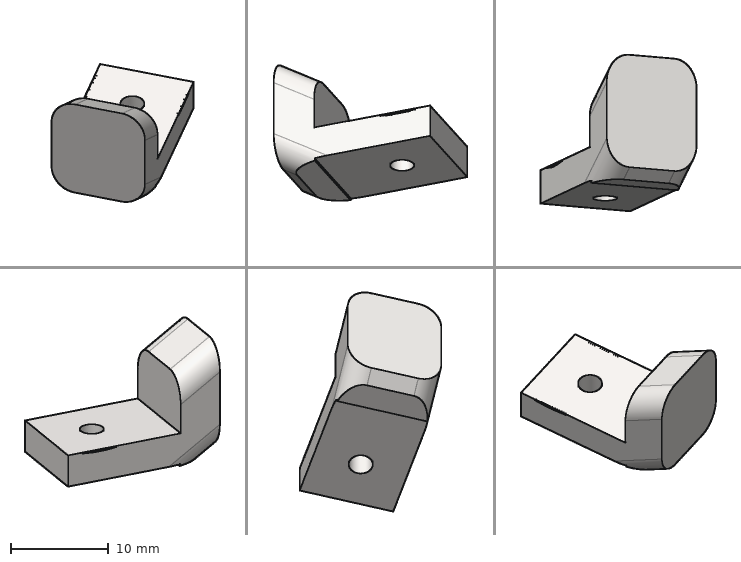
import cadquery as cq
import math

WIDTH = 10.0
LENGTH = 17.34
HEIGHT = 12.75
PAD_DEPTH = 4.49
PLATE_BOTTOM = 0.23
PLATE_TOP = 3.73
FACE_BOTTOM = 0.99
EDGE_RADIUS = 2.5
SLOPE_ANGLE = 32.0
HOLE_DIAMETER = 2.46
HOLE_Y = 12.17
SLIT_Y = 13.73
SLIT_LENGTH = 3.85
SLIT_HEIGHT = 0.12
SLIT_DEPTH = 0.17
SLIT_GAP = 0.12

slope = math.tan(math.radians(SLOPE_ANGLE))
corner_height = EDGE_RADIUS / math.cos(math.radians(SLOPE_ANGLE))
rounding_end = (FACE_BOTTOM + corner_height - PLATE_BOTTOM) / slope


def box(y_start, y_end, z_bottom, z_top):
    """Full-width block centred on X = 0."""
    return cq.Workplane("XY").box(
        WIDTH, y_end - y_start, z_top - z_bottom, centered=(True, False, False)
    ).translate((0, y_start, z_bottom))


def sloping_prism(depth):
    """Bar that descends toward +Y, with its four sloping edges rounded."""
    drop = slope * depth
    outline = [
        (0, FACE_BOTTOM),
        (0, HEIGHT),
        (depth, HEIGHT - drop),
        (depth, FACE_BOTTOM - drop),
    ]
    bar = cq.Workplane("YZ").polyline(outline).close().extrude(WIDTH / 2, both=True)
    sloping_edges = cq.selectors.ParallelDirSelector(cq.Vector(0, 1, -slope))
    return bar.edges(sloping_edges).fillet(EDGE_RADIUS)


def side_slit(side):
    """Shallow slit with a flat top and bowed bottom; side is -1 for -X or +1 for +X."""
    top = PLATE_TOP - SLIT_GAP
    y_start = SLIT_Y - SLIT_LENGTH / 2
    y_end = SLIT_Y + SLIT_LENGTH / 2
    return (
        cq.Workplane("YZ", origin=(side * WIDTH / 2, 0, 0))
        .moveTo(y_start, top)
        .threePointArc((SLIT_Y, top - SLIT_HEIGHT), (y_end, top))
        .close()
        .extrude(-side * SLIT_DEPTH)
    )


pad = box(0, PAD_DEPTH, 0, HEIGHT)
plate_root = box(0, rounding_end, PLATE_BOTTOM, PLATE_TOP)
front = pad.union(plate_root).intersect(sloping_prism(rounding_end))

plate = box(rounding_end, LENGTH, PLATE_BOTTOM, PLATE_TOP)
hole = (
    cq.Workplane("XY", origin=(0, HOLE_Y, PLATE_BOTTOM))
    .circle(HOLE_DIAMETER / 2)
    .extrude(PLATE_TOP - PLATE_BOTTOM)
)

result = front.union(plate).cut(hole)
for side in (-1, 1):
    result = result.cut(side_slit(side))